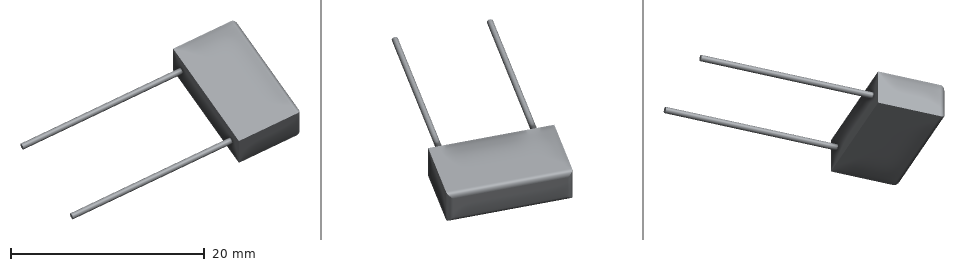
import cadquery as cq

overall_length = 26.5

case_width = 13.5
case_length = 7.5
case_height = 3.9
back_edge_radius = 0.58

lead_diameter = 0.65
lead_pitch = 10.18
lead_length = overall_length - case_length


def make_case():
    """Rectangular case from its flat front face at Y = 0 to its rounded back face."""
    block = cq.Workplane("XY").box(
        case_width, case_length, case_height, centered=(True, False, True)
    )
    return block.faces(">Y").edges().fillet(back_edge_radius)


def make_lead(x_position):
    """Straight round wire that butts against the front face and runs toward -Y."""
    return (
        cq.Workplane("XZ")
        .center(x_position, 0)
        .circle(lead_diameter / 2)
        .extrude(lead_length)
    )


case = make_case()
leads = [make_lead(side * lead_pitch / 2) for side in (-1, 1)]

result = cq.Compound.makeCompound([case.val(), *[lead.val() for lead in leads]])